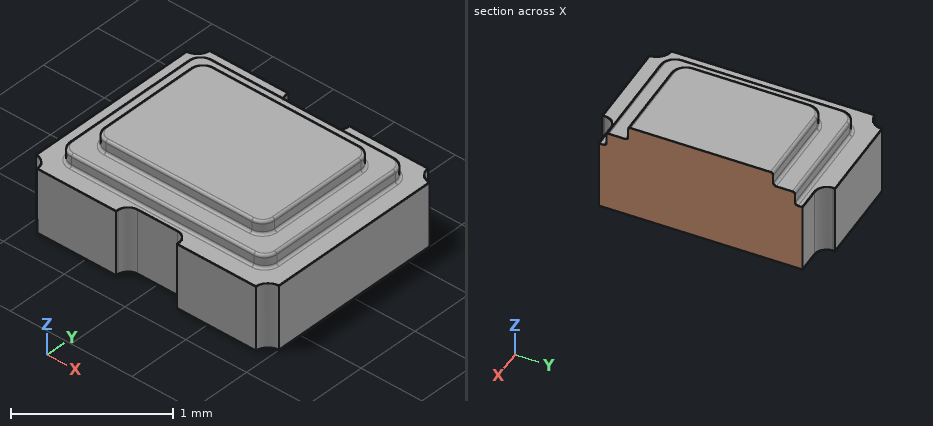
import cadquery as cq

BODY_LENGTH = 2.0
BODY_WIDTH = 1.6
BODY_HEIGHT = 0.5

CORNER_NOTCH_RADIUS = 0.1
SIDE_NOTCH_LENGTH = 0.5
SIDE_NOTCH_DEPTH = 0.1
SIDE_NOTCH_RADIUS = 0.085

TIER_HEIGHT = 0.1
TIER_CORNER_RADIUS = 0.1
TIER_EDGE_RADIUS = 0.02
LOWER_TIER_LENGTH = 1.7
LOWER_TIER_WIDTH = 1.3
TIER_STEP = 0.15
UPPER_TIER_LENGTH = LOWER_TIER_LENGTH - 2 * TIER_STEP
UPPER_TIER_WIDTH = LOWER_TIER_WIDTH - 2 * TIER_STEP

LOWER_TIER_TOP = BODY_HEIGHT + TIER_HEIGHT


def corner_notches():
    """Cylinders centred on the four vertical edges of the body."""
    return (
        cq.Workplane("XY")
        .rect(BODY_LENGTH, BODY_WIDTH, forConstruction=True)
        .vertices()
        .circle(CORNER_NOTCH_RADIUS)
        .extrude(BODY_HEIGHT)
    )


def side_notches():
    """Rounded pockets in the middle of the two long sides."""
    return (
        cq.Workplane("XY")
        .pushPoints([(0, -BODY_WIDTH / 2), (0, BODY_WIDTH / 2)])
        .rect(SIDE_NOTCH_LENGTH, 2 * SIDE_NOTCH_DEPTH)
        .extrude(BODY_HEIGHT)
        .edges("|Z")
        .fillet(SIDE_NOTCH_RADIUS)
    )


def ceramic_body():
    """Rectangular block with all castellations removed."""
    block = cq.Workplane("XY").rect(BODY_LENGTH, BODY_WIDTH).extrude(BODY_HEIGHT)
    return block.cut(corner_notches()).cut(side_notches())


def lid_tier(length, width, base_z):
    """Rounded plate with a softened top rim."""
    plate = (
        cq.Workplane("XY")
        .workplane(offset=base_z)
        .rect(length, width)
        .extrude(TIER_HEIGHT)
        .edges("|Z")
        .fillet(TIER_CORNER_RADIUS)
    )
    return plate.faces(">Z").edges().fillet(TIER_EDGE_RADIUS)


def foot_edges(length, width, base_z):
    """Selector for the concave edges where a tier meets the surface below it."""
    margin = TIER_EDGE_RADIUS / 2
    return cq.selectors.BoxSelector(
        (-length / 2 - margin, -width / 2 - margin, base_z - margin),
        (length / 2 + margin, width / 2 + margin, base_z + margin),
    )


def add_tier(part, length, width, base_z):
    """Stack a lid tier on the part and blend its foot into the surface below."""
    joined = part.union(lid_tier(length, width, base_z))
    return joined.edges(foot_edges(length, width, base_z)).fillet(TIER_EDGE_RADIUS)


body = ceramic_body()
with_lower_tier = add_tier(body, LOWER_TIER_LENGTH, LOWER_TIER_WIDTH, BODY_HEIGHT)
result = add_tier(with_lower_tier, UPPER_TIER_LENGTH, UPPER_TIER_WIDTH, LOWER_TIER_TOP)